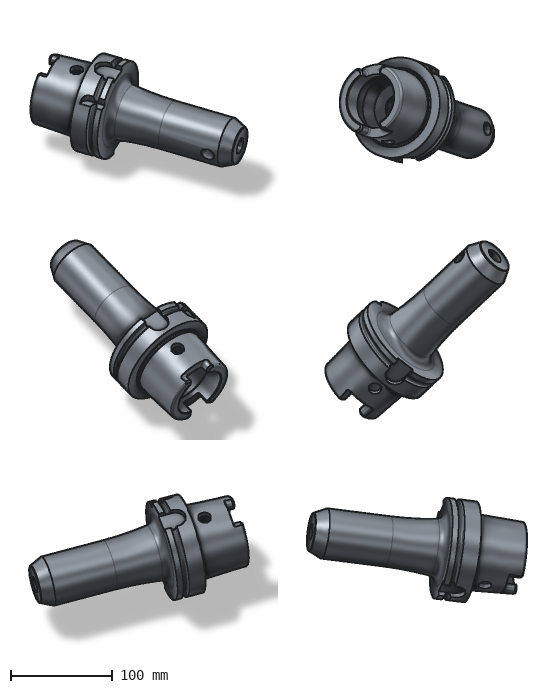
import cadquery as cq
import math

total_length = 210.0

rim_radius = 35.7
rim_round = 2.0
taper_length = 47.2
taper_radius = 37.8
taper_ratio = (taper_radius - rim_radius) / taper_length

undercut_radius = 37.0
undercut_ramp = 1.0
undercut_depth = 0.6
undercut_face_radius = 39.7

flange_start = 50.0
flange_end = 79.0
flange_radius = 50.0
groove_start = 66.8
groove_end = 72.9
groove_depth = 4.0
groove_flank_angle = 20.0
groove_floor_fillet = 1.5

neck_start = 87.4
neck_end = 133.4
neck_start_radius = 28.1
nose_radius = 25.0
nose_start = 196.8
tip_radius = 19.1
tip_chamfer = 0.6

bore_radius = 26.5
bore_chamfer = 0.8
bore_straight_depth = 20.0
cavity_radius = 31.5
cavity_flare_angle = 60.0
cavity_end = 39.7
cavity_taper_angle = 30.0
bore_floor_radius = 25.0
coolant_radius = 11.3
coolant_chamfer = 1.0
coolant_depth = 65.0

keyway_half_width = 9.7
keyway_depth_top = 9.7
keyway_depth_bottom = 14.5
keyway_corner_radius = 5.5
keyway_flat_height = 32.0
keyway_chamfer = 1.9
keyway_root_fillet = 1.5

cross_hole_x = 34.9
cross_hole_radius = 6.3

slot_half_width = 9.9
slot_start = 54.8
slot_floor = 44.0
notch_start = 55.2
notch_wall = 31.5
notch_corner_radius = 7.4

tool_bore_radius = 8.0
tool_bore_depth = 48.3
screw_x = 186.0
screw_radius = 6.5
screw_chamfer = 0.6

clearance = 63.0


def make_body():
    """Revolve the outer outline about X."""
    neck_length = neck_end - neck_start
    neck_rise = neck_start_radius - nose_radius
    neck_radius = (neck_length**2 + neck_rise**2) / (2 * neck_rise)
    neck_tilt = math.asin(neck_length / neck_radius)
    neck_mid = (
        neck_end - neck_radius * math.sin(neck_tilt / 2),
        nose_radius + neck_radius * (1 - math.cos(neck_tilt / 2)),
    )
    root_radius = (neck_start - flange_end) / (1 - math.sin(neck_tilt))
    root_center = (flange_end + root_radius, neck_start_radius + root_radius * math.cos(neck_tilt))
    root_mid_angle = (math.pi / 2 - neck_tilt) / 2
    root_mid = (
        root_center[0] - root_radius * math.cos(root_mid_angle),
        root_center[1] - root_radius * math.sin(root_mid_angle),
    )
    rim_inset = rim_round * (1 - math.sqrt(0.5))
    outline = (
        cq.Workplane("XY")
        .lineTo(0, rim_radius - rim_round)
        .threePointArc((rim_inset, rim_radius - rim_inset), (rim_round, rim_radius + rim_round * taper_ratio))
        .lineTo(taper_length, taper_radius)
        .lineTo(taper_length + undercut_ramp, undercut_radius)
        .lineTo(flange_start + undercut_depth, undercut_radius)
        .lineTo(flange_start + undercut_depth, undercut_face_radius - undercut_depth)
        .lineTo(flange_start, undercut_face_radius)
        .lineTo(flange_start, flange_radius)
        .lineTo(flange_end, flange_radius)
        .lineTo(flange_end, root_center[1])
        .threePointArc(root_mid, (neck_start, neck_start_radius))
        .threePointArc(neck_mid, (neck_end, nose_radius))
        .lineTo(nose_start, nose_radius)
        .lineTo(total_length - tip_chamfer, tip_radius)
        .lineTo(total_length, tip_radius - tip_chamfer)
        .lineTo(total_length, 0)
        .close()
    )
    return outline.revolve(360, (0, 0, 0), (1, 0, 0))


def make_groove():
    """V-shaped gripper groove around the flange, rounded along its floor."""
    flank_run = groove_depth * math.tan(math.radians(groove_flank_angle))
    floor_radius = flange_radius - groove_depth
    ring = (
        cq.Workplane("XY")
        .moveTo(groove_start, flange_radius)
        .lineTo(groove_start + flank_run, floor_radius)
        .lineTo(groove_end - flank_run, floor_radius)
        .lineTo(groove_end, flange_radius)
        .close()
        .revolve(360, (0, 0, 0), (1, 0, 0))
    )
    return ring.edges(cq.selectors.RadiusNthSelector(0)).fillet(groove_floor_fillet)


def make_shank_bore():
    """Chamfered bore that flares into a clamping cavity, with the coolant hole behind it."""
    flare_length = (cavity_radius - bore_radius) / math.tan(math.radians(cavity_flare_angle))
    taper_run = (cavity_radius - bore_floor_radius) / math.tan(math.radians(cavity_taper_angle))
    bore_depth = cavity_end + taper_run
    outline = (
        cq.Workplane("XY")
        .lineTo(0, bore_radius + bore_chamfer)
        .lineTo(bore_chamfer, bore_radius)
        .lineTo(bore_straight_depth, bore_radius)
        .lineTo(bore_straight_depth + flare_length, cavity_radius)
        .lineTo(cavity_end, cavity_radius)
        .lineTo(bore_depth, bore_floor_radius)
        .lineTo(bore_depth, coolant_radius + coolant_chamfer)
        .lineTo(bore_depth + coolant_chamfer, coolant_radius)
        .lineTo(coolant_depth, coolant_radius)
        .lineTo(coolant_depth, 0)
        .close()
    )
    return outline.revolve(360, (0, 0, 0), (1, 0, 0))


def keyway_profile(offset):
    """Keyway cross-section in YZ, grown by offset, with rounded shoulders."""
    half_width = keyway_half_width + offset
    shoulder = keyway_flat_height - offset
    radius = keyway_corner_radius - offset
    arc_inset = radius * (1 - math.sqrt(0.5))
    return (
        cq.Workplane("YZ")
        .moveTo(-half_width, 0)
        .lineTo(half_width, 0)
        .lineTo(half_width, shoulder - radius)
        .threePointArc((half_width + arc_inset, shoulder - arc_inset), (half_width + radius, shoulder))
        .lineTo(clearance, shoulder)
        .lineTo(clearance, clearance)
        .lineTo(-clearance, clearance)
        .lineTo(-clearance, shoulder)
        .lineTo(-half_width - radius, shoulder)
        .threePointArc((-half_width - arc_inset, shoulder - arc_inset), (-half_width, shoulder - radius))
        .close()
    )


def make_keyway(depth):
    """Keyway above the axis: filleted floor edge and a chamfered mouth."""
    keyway = keyway_profile(0).extrude(depth).faces(">X").edges().fillet(keyway_root_fillet)
    mouth = keyway_profile(keyway_chamfer).extrude(keyway_chamfer, taper=45)
    return keyway.union(mouth)


def make_drive_slot():
    """Round-ended slot with a flat floor, open at the tool side of the flange."""
    arc_center = slot_start + slot_half_width
    plane = cq.Workplane("XY", origin=(0, 0, slot_floor))
    return (
        plane.moveTo(flange_end, -slot_half_width)
        .lineTo(arc_center, -slot_half_width)
        .threePointArc((slot_start, 0), (arc_center, slot_half_width))
        .lineTo(flange_end, slot_half_width)
        .close()
        .extrude(clearance - slot_floor)
    )


def make_notch():
    """Orientation notch on the -Y +Z side, with one rounded inner corner."""
    notch = cq.Workplane("XY").box(
        flange_end - notch_start,
        clearance - notch_wall,
        clearance - notch_wall,
        centered=False,
    )
    notch = notch.translate((notch_start, -clearance, notch_wall))
    return notch.edges("<X and >Y").fillet(notch_corner_radius)


def make_screw_hole():
    """Clamping screw hole from the -Y side into the tool bore, with a countersunk mouth."""
    hole = cq.Workplane("XZ", origin=(screw_x, 0, 0)).circle(screw_radius).extrude(clearance)
    mouth = (
        cq.Workplane("XZ", origin=(screw_x, -nose_radius, 0))
        .circle(screw_radius + screw_chamfer)
        .extrude(-screw_chamfer, taper=45)
    )
    return hole.union(mouth)


def half_turn(shape):
    return shape.rotate((0, 0, 0), (1, 0, 0), 180)


cross_hole = (
    cq.Workplane("XY", origin=(cross_hole_x, 0, 0)).circle(cross_hole_radius).extrude(clearance, both=True)
)
tool_bore = (
    cq.Workplane("YZ", origin=(total_length, 0, 0)).circle(tool_bore_radius).extrude(-tool_bore_depth)
)
drive_slot = make_drive_slot()

result = make_body()
result = result.cut(make_groove())
result = result.cut(make_shank_bore())
result = result.cut(make_keyway(keyway_depth_top))
result = result.cut(half_turn(make_keyway(keyway_depth_bottom)))
result = result.cut(cross_hole)
result = result.cut(drive_slot)
result = result.cut(half_turn(drive_slot))
result = result.cut(make_notch())
result = result.cut(tool_bore)
result = result.cut(make_screw_hole())